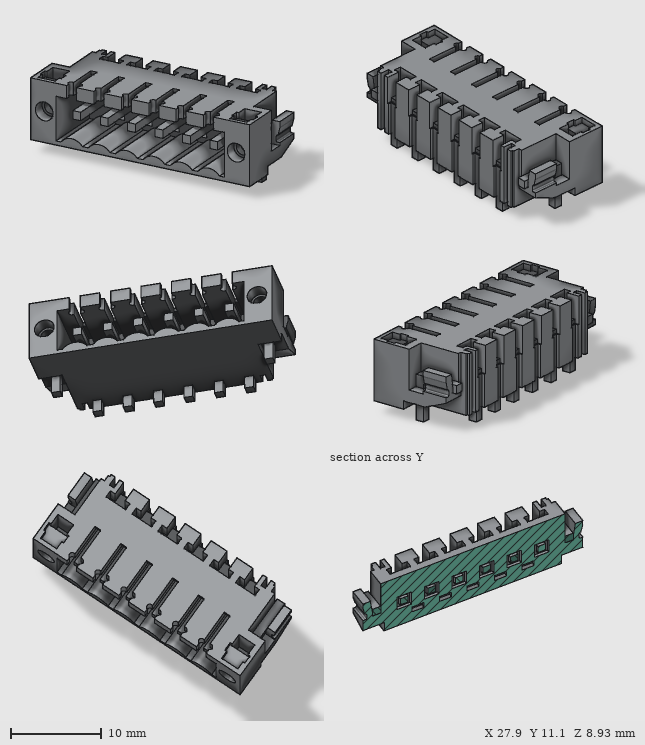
import cadquery as cq
import math

WIDTH = 27.95
HEIGHT = 7.43
DEPTH = 11.05
PITCH = 3.5
CONTACTS = 6
HALF_WIDTH = WIDTH / 2
CONTACT_XS = [(i - (CONTACTS - 1) / 2) * PITCH for i in range(CONTACTS)]
GAP_XS = [x + PITCH / 2 for x in CONTACT_XS[:-1]]
ANCHOR_X = (CONTACTS + 1) / 2 * PITCH

WIRE = 1.0
WIRE_BOTTOM = 3.02
WIRE_TOP = WIRE_BOTTOM + WIRE
TAIL_DROP = 1.5
CONTACT_TIP_Y = 1.17
CONTACT_BACK_Y = 10.68
ANCHOR_FRONT_Y = 4.95
ANCHOR_BACK_Y = 10.5

POST_BACK_Y = 4.9
FLANK_BACK_Y = 10.0
BODY_HALF = ANCHOR_X - WIRE / 2
STEP_HALF = 11.25
RIM_HALF = 11.07
RIM_Y = 10.75

CAVITY_HALF = 10.73
CAVITY_FLOOR = 0.5
CAVITY_CEILING = 5.87
CAVITY_BACK_Y = 7.55
RIDGE_HALF = 1.4
RIDGE_HEIGHT = 0.67
SEAT_SIZE = 1.8
SEAT_BOTTOM = 2.57
SEAT_DEPTH = 0.5
WINDOW_WIDTH = 1.45
WINDOW_BOTTOM = 1.17
WINDOW_TOP = 2.0
WINDOW_DEPTH = (WINDOW_TOP - WINDOW_BOTTOM) / 2

GROOVE_HALF = 0.4
GROOVE_TOP = 7.0
SLOT_BACK_Y = 5.05
NECK_HALF = 0.65
NECK_Y = 0.5
LOBE_HALF = 0.9
LOBE_Y = 0.85
LOBE_BACK_HALF = 0.53
LOBE_BACK_Y = 1.17

POCKET_FRONT_Y = 8.58
POCKET_STEP_Y = 9.42
POCKET_LIP_Y = 10.5
POCKET_HALF = 1.3
POCKET_NECK_HALF = 0.67
POCKET_FLOOR = 4.53
NOTCH_X = 10.23
NOTCH_WIDTH = 0.6
NOTCH_Y = 9.92

SCREW_Z = 3.75
SCREW_BORE_R = 1.12
SCREW_CORE_R = 0.8
SCREW_BORE_DEPTH = 1.5
NUT_HALF = 1.05
NUT_FRONT_Y = 2.52
NUT_BACK_Y = 3.85
NUT_FLOOR = SCREW_Z - NUT_HALF
LATCH_FLOOR = 6.7
LATCH_FRONT_Y = 0.5
LATCH_EAR_Y = 1.5
LATCH_HALF = 1.1
LATCH_EAR_HALF = 1.35

FLANK_TOP = 2.52
FLANK_BOTTOM = 1.0
FLANK_UNDERCUT_Y = 4.1
FLANK_SLOPE_Y = 7.13
FLANK_SLOPE_TOP = 2.2
CLIP_FRONT_Y = 6.82
CLIP_TOP = 5.37
CLIP_TOP_INNER = 13.0
CLIP_BEND_Z = 3.6
CLIP_NOSE_Z = 4.65
CLIP_BARB = 13.75
CLIP_BARB_Z = 3.72
CLIP_WAIST = 13.5
CLIP_LEDGE_FILLET = 0.17
CLIP_LEDGE_Z = 2.85


def box(x0, x1, y0, y1, z0, z1):
    """Box between two opposite corners."""
    return cq.Workplane("XY").box(x1 - x0, y1 - y0, z1 - z0, centered=False).translate((x0, y0, z0))


def plan(points, z0, z1):
    """Prism with a polygon in the XY plane."""
    return cq.Workplane("XY", origin=(0, 0, z0)).polyline(points).close().extrude(z1 - z0)


def side(points, x0, x1):
    """Prism with a polygon in the YZ plane."""
    return cq.Workplane("YZ", origin=(x0, 0, 0)).polyline(points).close().extrude(x1 - x0)


def mirrored_outline(right_half):
    """Closed outline from its +X half, symmetric about X = 0."""
    return right_half + [(-x, y) for x, y in reversed(right_half)]


def bent_wire(x, bar_start_y, bar_end_y, leg_back_y):
    """Horizontal bar with a square leg that runs down from it to the tail end."""
    bar = box(x - WIRE / 2, x + WIRE / 2, bar_start_y, bar_end_y, WIRE_BOTTOM, WIRE_TOP)
    leg = box(x - WIRE / 2, x + WIRE / 2, leg_back_y - WIRE, leg_back_y, -TAIL_DROP, WIRE_TOP)
    return bar.union(leg)


def contact(x):
    """Contact pin with its tail at the back end."""
    return bent_wire(x, CONTACT_TIP_Y, CONTACT_BACK_Y, CONTACT_BACK_Y)


def anchor(x):
    """Solder anchor with its leg at the front end."""
    return bent_wire(x, ANCHOR_FRONT_Y, ANCHOR_BACK_Y, ANCHOR_FRONT_Y + WIRE)


def body():
    """Block with wide end posts at the front and stepped back corners."""
    right_half = [
        (HALF_WIDTH, 0),
        (HALF_WIDTH, POST_BACK_Y),
        (BODY_HALF, POST_BACK_Y),
        (BODY_HALF, FLANK_BACK_Y),
        (STEP_HALF, FLANK_BACK_Y),
        (STEP_HALF, RIM_Y),
        (RIM_HALF, RIM_Y),
        (RIM_HALF, DEPTH),
    ]
    return plan(mirrored_outline(right_half), 0, HEIGHT)


def flank():
    """Shelf beside the body that carries the clip."""
    return box(BODY_HALF, HALF_WIDTH, POST_BACK_Y, FLANK_BACK_Y, 0, FLANK_TOP)


def clip():
    """Barbed clip standing on the flank; the anchor bar lies between it and the body."""
    inner = ANCHOR_X + WIRE / 2
    barb_radius = CLIP_BARB - CLIP_WAIST
    mid_share = 1 - math.sqrt(0.5)
    barb_mid = (CLIP_WAIST + barb_radius * mid_share, CLIP_BARB_Z - barb_radius * mid_share)
    ledge_mid = (CLIP_WAIST + CLIP_LEDGE_FILLET * mid_share, CLIP_LEDGE_Z + CLIP_LEDGE_FILLET * mid_share)
    profile = (
        cq.Workplane("XZ", origin=(0, FLANK_BACK_Y, 0))
        .moveTo(BODY_HALF, FLANK_TOP)
        .lineTo(BODY_HALF, WIRE_BOTTOM)
        .lineTo(inner, WIRE_BOTTOM)
        .lineTo(inner, CLIP_BEND_Z)
        .lineTo(CLIP_TOP_INNER, CLIP_TOP)
        .lineTo(HALF_WIDTH, CLIP_TOP)
        .lineTo(HALF_WIDTH, CLIP_NOSE_Z)
        .lineTo(CLIP_BARB, CLIP_BARB_Z)
        .threePointArc(barb_mid, (CLIP_WAIST, CLIP_BARB_Z - barb_radius))
        .lineTo(CLIP_WAIST, CLIP_LEDGE_Z + CLIP_LEDGE_FILLET)
        .threePointArc(ledge_mid, (CLIP_WAIST + CLIP_LEDGE_FILLET, CLIP_LEDGE_Z))
        .lineTo(HALF_WIDTH, CLIP_LEDGE_Z)
        .lineTo(HALF_WIDTH, FLANK_TOP)
        .close()
    )
    return profile.extrude(FLANK_BACK_Y - CLIP_FRONT_Y)


def floor_ridge(x):
    """Rounded ridge that is left standing on the cavity floor."""
    return (
        cq.Workplane("XZ", origin=(x, CAVITY_BACK_Y, 0))
        .moveTo(-RIDGE_HALF, CAVITY_FLOOR)
        .threePointArc((0, CAVITY_FLOOR + RIDGE_HEIGHT), (RIDGE_HALF, CAVITY_FLOOR))
        .close()
        .extrude(CAVITY_BACK_Y)
    )


def cavity():
    """Mating cavity, open at the front, less the ridges on its floor."""
    space = box(-CAVITY_HALF, CAVITY_HALF, 0, CAVITY_BACK_Y, CAVITY_FLOOR, CAVITY_CEILING)
    for x in CONTACT_XS:
        space = space.cut(floor_ridge(x))
    return space


def keyway(x):
    """Ceiling groove along the cavity, with a keyhole slot through the roof at the front."""
    groove = box(x - GROOVE_HALF, x + GROOVE_HALF, 0, CAVITY_BACK_Y, CAVITY_CEILING, GROOVE_TOP)
    slot = box(x - GROOVE_HALF, x + GROOVE_HALF, 0, SLOT_BACK_Y, CAVITY_CEILING, HEIGHT)
    keyhole = (
        cq.Workplane("XY", origin=(x, 0, CAVITY_CEILING))
        .moveTo(-NECK_HALF, 0)
        .lineTo(NECK_HALF, 0)
        .lineTo(NECK_HALF, NECK_Y)
        .threePointArc((LOBE_HALF, LOBE_Y), (LOBE_BACK_HALF, LOBE_BACK_Y))
        .lineTo(-LOBE_BACK_HALF, LOBE_BACK_Y)
        .threePointArc((-LOBE_HALF, LOBE_Y), (-NECK_HALF, NECK_Y))
        .close()
        .extrude(HEIGHT - CAVITY_CEILING)
    )
    return groove.union(slot).union(keyhole)


def contact_seat(x):
    """Square recess around the contact in the back wall of the cavity."""
    half = SEAT_SIZE / 2
    back = CAVITY_BACK_Y + SEAT_DEPTH
    return box(x - half, x + half, CAVITY_BACK_Y, back, SEAT_BOTTOM, SEAT_BOTTOM + SEAT_SIZE)


def window(x):
    """Pocket in the back wall of the cavity with a ramp along its lower half."""
    outline = [
        (CAVITY_BACK_Y, WINDOW_BOTTOM),
        (CAVITY_BACK_Y + WINDOW_DEPTH, WINDOW_BOTTOM + WINDOW_DEPTH),
        (CAVITY_BACK_Y + WINDOW_DEPTH, WINDOW_TOP),
        (CAVITY_BACK_Y, WINDOW_TOP),
    ]
    return side(outline, x - WINDOW_WIDTH / 2, x + WINDOW_WIDTH / 2)


def contact_passage(x):
    """Hole for the contact bar, and the channel in the back face that takes its tail."""
    half = WIRE / 2
    bar_hole = box(x - half, x + half, CAVITY_BACK_Y, DEPTH, WIRE_BOTTOM, WIRE_TOP)
    channel = box(x - half, x + half, CONTACT_BACK_Y - WIRE, DEPTH, 0, WIRE_TOP)
    return bar_hole.union(channel)


def back_pocket(x):
    """T-shaped pocket from the top, open at the back, with a lower sill behind its floor."""
    wide = box(x - POCKET_HALF, x + POCKET_HALF, POCKET_FRONT_Y, POCKET_STEP_Y, POCKET_FLOOR, HEIGHT)
    neck = box(x - POCKET_NECK_HALF, x + POCKET_NECK_HALF, POCKET_STEP_Y, DEPTH, POCKET_FLOOR, HEIGHT)
    sill = box(x - POCKET_NECK_HALF, x + POCKET_NECK_HALF, POCKET_LIP_Y, DEPTH, WIRE_TOP, HEIGHT)
    return wide.union(neck).union(sill)


def coding_notch():
    """Full-height notch in the back corner."""
    return box(NOTCH_X - NOTCH_WIDTH / 2, NOTCH_X + NOTCH_WIDTH / 2, NOTCH_Y, DEPTH, 0, HEIGHT)


def screw_hole():
    """Stepped hole from the front of the post into the nut slot."""
    face = cq.Workplane("XZ", origin=(ANCHOR_X, 0, SCREW_Z))
    bore = face.circle(SCREW_BORE_R).extrude(-SCREW_BORE_DEPTH)
    core = face.circle(SCREW_CORE_R).extrude(-NUT_FRONT_Y)
    return bore.union(core)


def nut_slot():
    """Deep nut slot in the post top with a shallow eared recess in front of it."""
    slot = box(ANCHOR_X - NUT_HALF, ANCHOR_X + NUT_HALF, NUT_FRONT_Y, NUT_BACK_Y, NUT_FLOOR, HEIGHT)
    right_half = [
        (LATCH_HALF, LATCH_FRONT_Y),
        (LATCH_HALF, LATCH_EAR_Y),
        (LATCH_EAR_HALF, LATCH_EAR_Y),
        (LATCH_EAR_HALF, NUT_FRONT_Y),
    ]
    recess = plan(mirrored_outline(right_half), LATCH_FLOOR, HEIGHT).translate((ANCHOR_X, 0, 0))
    return slot.union(recess)


def flank_undercut():
    """Clearance under the flank and the back of the post, higher toward the back."""
    outline = [
        (FLANK_UNDERCUT_Y, 0),
        (FLANK_UNDERCUT_Y, FLANK_BOTTOM),
        (FLANK_SLOPE_Y, FLANK_BOTTOM),
        (FLANK_BACK_Y, FLANK_SLOPE_TOP),
        (FLANK_BACK_Y, 0),
    ]
    return side(outline, STEP_HALF, HALF_WIDTH)


def build_housing(anchors):
    """Complete housing, with holes for the anchor legs."""
    shape = body()
    for feature in (flank, clip):
        shape = shape.union(feature()).union(feature().mirror("YZ"))
    shape = shape.cut(cavity())
    for x in CONTACT_XS:
        for feature in (keyway, contact_seat, contact_passage, back_pocket):
            shape = shape.cut(feature(x))
    for x in GAP_XS:
        shape = shape.cut(window(x))
    for feature in (coding_notch, screw_hole, nut_slot, flank_undercut):
        shape = shape.cut(feature()).cut(feature().mirror("YZ"))
    for leg in anchors:
        shape = shape.cut(leg)
    return shape


contacts = [contact(x) for x in CONTACT_XS]
anchors = [anchor(x) for x in (-ANCHOR_X, ANCHOR_X)]
housing = build_housing(anchors)

result = cq.Compound.makeCompound([
    housing.val(),
    *[pin.val() for pin in contacts],
    *[leg.val() for leg in anchors],
])